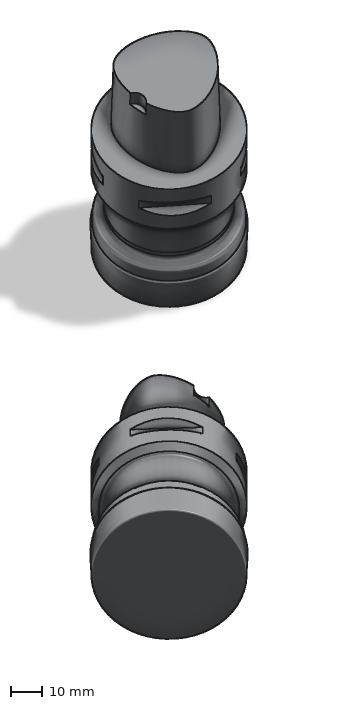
import cadquery as cq
import math

total_height = 90.0
shank_length = 30.0
collar_length = 20.0
collar_top = total_height - shank_length
collar_bottom = collar_top - collar_length
nut_height = 23.1

collar_radius = 50.0 / 2
neck_radius = 42.0 / 2
neck_top_radius = 21.5
neck_top_z = 36.3
neck_band_bottom_z = 21.4
collar_cone_bottom_z = 37.7
collar_cone_bottom_radius = collar_radius - (collar_bottom - collar_cone_bottom_z)

shoulder_radius = 49.4 / 2
shoulder_round_bottom_z = 16.7
shoulder_cone_outer_radius = 23.6
shoulder_cone_outer_z = 18.5
shoulder_cone_inner_radius = 22.1
shoulder_cone_inner_z = 19.7

shank_mean_radius = 17.55
shank_lobe_height = 1.3
shank_taper = 1 / 20
lobe_count = 3
lobe_half_angle = 36.6
points_per_patch = 9

notch_radius = 8.0 / 2
notch_center_y = -17.55
notch_depth = 5.6

slot_count = 4
slot_floor_distance = 22.1
slot_floor_height = 3.6
slot_flank_angle = 30.0
slot_center_z = collar_top - collar_length / 2
slot_cut_radius = collar_radius + 0.9

grip_radius = 25.3
grip_blend_top_z = 13.2
grip_ledge_z = 12.9
grip_band_top_z = 12.4
grip_band_bottom_z = 9.7
rim_radius = collar_radius
rim_top_z = 3.3
rim_round = 0.6


def lobe_point(angle, mean_radius):
    """Point of the constant-width curve whose outward normal is at the given angle (radians)."""
    phase = lobe_count * (angle - math.pi / 2)
    support = mean_radius + shank_lobe_height * math.cos(phase)
    slope = -lobe_count * shank_lobe_height * math.sin(phase)
    x = support * math.cos(angle) - slope * math.sin(angle)
    y = support * math.sin(angle) + slope * math.cos(angle)
    return x, y


def shank_outline(mean_radius, z):
    """Closed wire of alternating lobe and flank patches, tangent at their seams."""
    half = math.radians(lobe_half_angle)
    pitch = 2 * math.pi / lobe_count
    edges = []
    for lobe in range(lobe_count):
        tip = math.pi / 2 + lobe * pitch
        for start, end in ((tip - half, tip + half), (tip + half, tip + pitch - half)):
            step = (end - start) / (points_per_patch - 1)
            angles = [start + i * step for i in range(points_per_patch)]
            points = [cq.Vector(*lobe_point(a, mean_radius), z) for a in angles]
            tangents = [cq.Vector(-math.sin(a), math.cos(a), 0) for a in (start, end)]
            edges.append(cq.Edge.makeSpline(points, tangents=tangents))
    return cq.Wire.assembleEdges(edges)


def make_shank():
    base_radius = shank_mean_radius
    tip_radius = base_radius - shank_taper * shank_length / 2
    outlines = [shank_outline(base_radius, collar_top), shank_outline(tip_radius, total_height)]
    shank = cq.Workplane(cq.Solid.makeLoft(outlines, True))
    notch = (
        cq.Workplane("XY", origin=(0, notch_center_y, total_height - notch_depth))
        .circle(notch_radius)
        .extrude(notch_depth)
    )
    return shank.cut(notch)


def make_turned_body():
    """Collar and waisted neck as one revolved profile (radius, height)."""
    neck_mid_z = (nut_height + neck_top_z) / 2
    neck_mid_radius = neck_radius + (neck_top_radius - neck_radius) / 4
    return (
        cq.Workplane("XZ")
        .moveTo(0, nut_height)
        .lineTo(neck_radius, nut_height)
        .threePointArc((neck_mid_radius, neck_mid_z), (neck_top_radius, neck_top_z))
        .tangentArcPoint((collar_cone_bottom_radius, collar_cone_bottom_z), relative=False)
        .lineTo(collar_radius, collar_bottom)
        .lineTo(collar_radius, collar_top)
        .lineTo(0, collar_top)
        .close()
        .revolve(360, (0, 0, 0), (0, 1, 0))
    )


def make_gripper_slot(angle):
    """Trapezoidal slot cutter with a flat floor and flaring flanks, turned about Z."""
    floor_half = slot_floor_height / 2
    flare = (slot_cut_radius - slot_floor_distance) * math.tan(math.radians(slot_flank_angle))
    mouth_half = floor_half + flare
    return (
        cq.Workplane("XZ", origin=(0, 0, slot_center_z))
        .polyline([
            (slot_floor_distance, -floor_half),
            (slot_cut_radius, -mouth_half),
            (slot_cut_radius, mouth_half),
            (slot_floor_distance, floor_half),
        ])
        .close()
        .extrude(collar_radius, both=True)
        .rotate((0, 0, 0), (0, 0, 1), angle)
    )


def make_holder():
    holder = make_turned_body().union(make_shank())
    slot_pitch = 360 / slot_count
    for i in range(slot_count):
        holder = holder.cut(make_gripper_slot((i + 0.5) * slot_pitch))
    return holder


def make_nut():
    """Nut with a rounded lower rim, crowned grip band, rounded shoulder and neck band."""
    ledge_radius = (shoulder_radius + grip_radius) / 2
    crown_points = [
        (rim_radius, rim_top_z),
        (grip_radius, grip_band_bottom_z),
        (grip_radius, grip_band_top_z),
        (ledge_radius, grip_ledge_z),
        (shoulder_radius, grip_blend_top_z),
    ]
    upright = (0, 1)
    crown_tangents = [upright, upright, upright, None, upright]
    return (
        cq.Workplane("XZ")
        .lineTo(rim_radius, 0)
        .lineTo(*crown_points[0])
        .spline(crown_points[1:], tangents=crown_tangents, includeCurrent=True)
        .lineTo(shoulder_radius, shoulder_round_bottom_z)
        .tangentArcPoint((shoulder_cone_outer_radius, shoulder_cone_outer_z), relative=False)
        .lineTo(shoulder_cone_inner_radius, shoulder_cone_inner_z)
        .tangentArcPoint((neck_radius, neck_band_bottom_z), relative=False)
        .lineTo(neck_radius, nut_height)
        .lineTo(0, nut_height)
        .close()
        .revolve(360, (0, 0, 0), (0, 1, 0))
        .faces("<Z").edges().fillet(rim_round)
    )


holder = make_holder()
nut = make_nut()

result = cq.Compound.makeCompound([holder.solids().val(), nut.solids().val()])